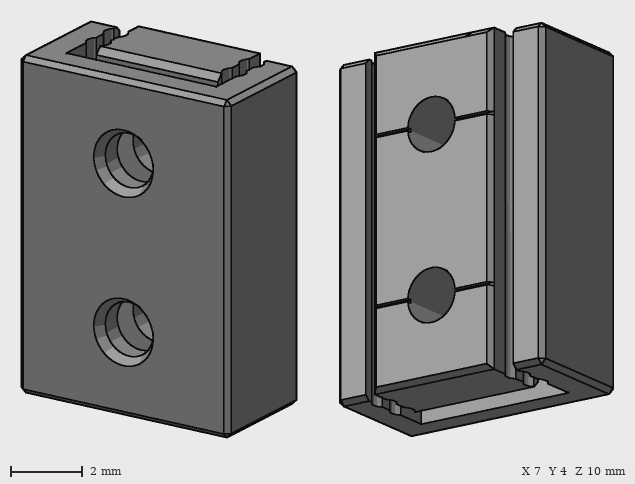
import cadquery as cq

overall_depth = 4.0
length = 10.0
front_y = -overall_depth / 2
back_y = overall_depth / 2

housing_width = 7.0
housing_depth = 3.6
wall_thickness = 1.0
floor_thickness = 0.9
edge_chamfer = 0.15
channel_width = housing_width - 2 * wall_thickness
channel_depth = housing_depth - floor_thickness

side_gap = 0.475
slider_width = channel_width - 2 * side_gap
slider_front_y = -0.3
slider_depth = back_y - slider_front_y
slider_front_chamfer = 0.2

track_diameter = 0.7
track_x = (channel_width - side_gap) / 2
track_ys = (0.17, 1.05)

hole_diameter = 1.6
countersink_diameter = 1.98
countersink_angle = 65
hole_spacing = 5.0
hole_centres = [(0, -hole_spacing / 2), (0, hole_spacing / 2)]

mark_width = 0.09
mark_depth = edge_chamfer
end_mark_x = -1.2
end_mark_length = edge_chamfer


def block(width, first_y, depth, height=length):
    """Box centred in X and Z that starts at first_y and extends toward +Y."""
    return cq.Workplane("XY").box(width, depth, height).translate((0, first_y + depth / 2, 0))


def ball_tracks():
    """Full-length cylinders that round out both facing walls of each side gap."""
    centres = [(side * track_x, y) for side in (-1, 1) for y in track_ys]
    return (
        cq.Workplane("XY")
        .workplane(offset=-length / 2)
        .pushPoints(centres)
        .circle(track_diameter / 2)
        .extrude(length)
    )


def make_housing():
    body = block(housing_width, front_y, housing_depth).edges().chamfer(edge_chamfer)
    body = body.cut(block(channel_width, front_y + floor_thickness, channel_depth))
    body = body.cut(ball_tracks())
    return (
        body.faces("<Y")
        .workplane(origin=(0, front_y, 0))
        .pushPoints(hole_centres)
        .cskHole(hole_diameter, countersink_diameter, countersink_angle, depth=floor_thickness)
    )


def cut_index_marks(body):
    """Shallow grooves across the slider at each screw hole and a short tick at its top end."""
    mark_y = back_y - mark_depth
    for _, z in hole_centres:
        groove = block(slider_width, mark_y, mark_depth, mark_width)
        body = body.cut(groove.translate((0, 0, z)))
    tick = block(mark_width, mark_y, mark_depth, end_mark_length)
    return body.cut(tick.translate((end_mark_x, 0, (length - end_mark_length) / 2)))


def make_slider():
    body = block(slider_width, slider_front_y, slider_depth)
    body = body.faces(">Y").edges().chamfer(edge_chamfer)
    body = body.faces("<Y").edges("|X").chamfer(slider_front_chamfer)
    body = body.cut(ball_tracks())
    screw_holes = (
        cq.Workplane("XZ", origin=(0, back_y, 0))
        .pushPoints(hole_centres)
        .circle(hole_diameter / 2)
        .extrude(slider_depth)
    )
    return cut_index_marks(body.cut(screw_holes))


housing = make_housing()
slider = make_slider()
result = cq.Compound.makeCompound([housing.solids().val(), slider.solids().val()])